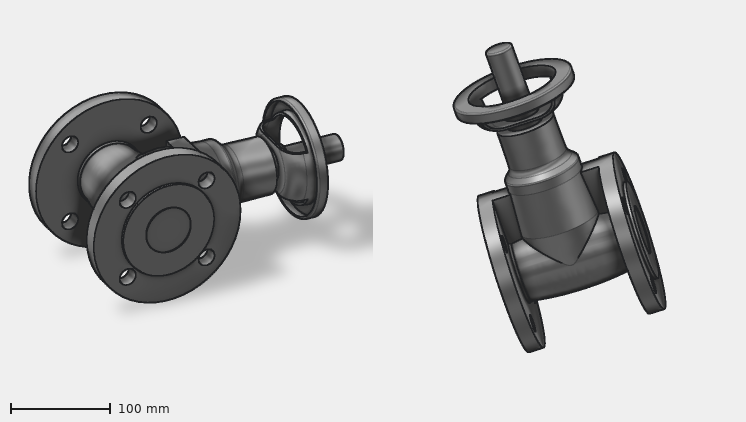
import cadquery as cq
import math


face_to_face = 150.0
flange_radius = 82.5
flange_thickness = 15.6
raised_face_radius = 51.0
raised_face_height = 3.4
port_radius = 25.0
port_depth = 1.0
bolt_circle_radius = 62.5
bolt_hole_radius = 9.0
bolt_count = 4

flange_outer_x = face_to_face / 2 - raised_face_height
flange_inner_x = flange_outer_x - flange_thickness

barrel_mid_radius = 38.5
barrel_end_radius = 34.5
neck_length = 3.0
neck_flare = 1.3
land_length = 1.0
barrel_end_x = flange_inner_x - neck_length - land_length

web_half_thickness = 12.6

chest_base_radius = barrel_mid_radius
chest_max_radius = 42.5
chest_max_y = 36.6
bonnet_collar_radius = 39.0
bonnet_collar_base_y = 83.4
bonnet_shoulder_y = 94.0
bonnet_shoulder_round = 2.4
bonnet_throat_round = 10.0
bonnet_neck_base_radius = 30.4
bonnet_neck_top_radius = 29.9
bonnet_top_y = 144.6

pad_length = 42.5
pad_width = 20.0
pad_center_y = 56.0
pad_top_z = 42.5

sleeve_radius = 17.8
sleeve_top_y = 167.0
sleeve_round = 2.0
spindle_radius = 13.9
spindle_top_y = 228.6
spindle_round = 2.0

wheel_radius = 62.5
wheel_base_y = 174.2
wheel_thickness = 12.0
wheel_top_y = wheel_base_y + wheel_thickness
wheel_edge_round = 1.8
rim_wall = 3.0
wheel_web_thickness = 4.0
bowl_radius = 47.2
bowl_root_radius = 48.7
bowl_wall = 2.5
bowl_base_y = 152.8
bowl_round = 16.3
spoke_half_width = 26.8

SPINDLE_AXIS = ((0, 0, 0), (0, 1, 0))


def make_flange():
    """Right-hand flange with raised face, shallow port recess and bolt holes."""
    flange = (
        cq.Workplane("YZ", origin=(flange_inner_x, 0, 0))
        .circle(flange_radius)
        .extrude(flange_thickness)
        .faces(">X")
        .workplane()
        .circle(raised_face_radius)
        .extrude(raised_face_height)
        .faces(">X")
        .workplane()
        .circle(port_radius)
        .cutBlind(-port_depth)
    )
    bolt_holes = (
        cq.Workplane("YZ", origin=(flange_inner_x, 0, 0))
        .polarArray(bolt_circle_radius, 180 / bolt_count, 360, bolt_count)
        .circle(bolt_hole_radius)
        .extrude(flange_thickness)
    )
    return flange.cut(bolt_holes)


def make_barrel():
    """Barrel bulging towards its middle, with a straight land and a slight flare at each flange."""
    flare_radius = barrel_end_radius + neck_flare
    return (
        cq.Workplane("XY")
        .moveTo(-flange_inner_x, 0)
        .lineTo(-flange_inner_x, flare_radius)
        .lineTo(-flange_inner_x + neck_length, barrel_end_radius)
        .lineTo(-barrel_end_x, barrel_end_radius)
        .threePointArc((0, barrel_mid_radius), (barrel_end_x, barrel_end_radius))
        .lineTo(flange_inner_x - neck_length, barrel_end_radius)
        .lineTo(flange_inner_x, flare_radius)
        .lineTo(flange_inner_x, 0)
        .close()
        .revolve(360, (0, 0, 0), (1, 0, 0))
    )


def make_web():
    """Slab joining both flanges to the bonnet, its top following the flange rim."""
    disc = cq.Workplane("YZ").circle(flange_radius).extrude(flange_inner_x, both=True)
    slab = cq.Workplane("XY").box(
        2 * flange_inner_x, flange_radius, 2 * web_half_thickness, centered=(True, False, True)
    )
    return disc.intersect(slab)


def make_bonnet():
    """Bonnet, packing sleeve and spindle turned about the Y axis."""
    turn = math.radians(45)
    round_start_y = bonnet_shoulder_y - bonnet_shoulder_round * math.tan(turn / 2)
    round_end_x = bonnet_collar_radius - bonnet_shoulder_round * (1 - math.cos(turn))
    round_end_y = round_start_y + bonnet_shoulder_round * math.sin(turn)
    throat_x = bonnet_neck_base_radius + bonnet_throat_round * (1 - math.cos(turn))
    throat_y = bonnet_shoulder_y + bonnet_collar_radius - throat_x
    throat_end_y = throat_y + bonnet_throat_round * math.sin(turn)
    return (
        cq.Workplane("XY")
        .lineTo(chest_base_radius, 0)
        .lineTo(chest_max_radius, chest_max_y)
        .lineTo(bonnet_collar_radius, bonnet_collar_base_y)
        .lineTo(bonnet_collar_radius, round_start_y)
        .radiusArc((round_end_x, round_end_y), -bonnet_shoulder_round)
        .lineTo(throat_x, throat_y)
        .radiusArc((bonnet_neck_base_radius, throat_end_y), bonnet_throat_round)
        .lineTo(bonnet_neck_top_radius, bonnet_top_y)
        .lineTo(sleeve_radius, bonnet_top_y)
        .lineTo(sleeve_radius, sleeve_top_y - sleeve_round)
        .radiusArc((sleeve_radius - sleeve_round, sleeve_top_y), -sleeve_round)
        .lineTo(spindle_radius, sleeve_top_y)
        .lineTo(spindle_radius, spindle_top_y - spindle_round)
        .radiusArc((spindle_radius - spindle_round, spindle_top_y), -spindle_round)
        .lineTo(0, spindle_top_y)
        .close()
        .revolve(360, *SPINDLE_AXIS)
    )


def make_name_plate_pad():
    """Flat pad standing out of the bonnet on its +Z side."""
    return cq.Workplane("XY", origin=(0, pad_center_y, 0)).rect(pad_length, pad_width).extrude(pad_top_z)


def make_valve_body():
    """Flanges, barrel, web and bonnet with the spindle, as one solid."""
    flange = make_flange()
    return (
        make_barrel()
        .union(flange)
        .union(flange.mirror("YZ"))
        .union(make_web())
        .union(make_bonnet())
        .union(make_name_plate_pad())
    )


def make_handwheel():
    """Rim and web on a hollow bowl that is cut back to two spokes and seated on the sleeve."""
    rim_inner = wheel_radius - rim_wall
    web_base_y = wheel_top_y - wheel_web_thickness
    bowl_inner = bowl_radius - bowl_wall
    inner_round = bowl_round - bowl_wall
    round_center_x = bowl_radius - bowl_round
    round_center_y = bowl_base_y + bowl_round
    wheel = (
        cq.Workplane("XY")
        .moveTo(sleeve_radius, bowl_base_y)
        .lineTo(round_center_x, bowl_base_y)
        .radiusArc((bowl_radius, round_center_y), -bowl_round)
        .lineTo(bowl_root_radius, web_base_y)
        .lineTo(rim_inner, web_base_y)
        .lineTo(rim_inner, wheel_base_y)
        .lineTo(wheel_radius - wheel_edge_round, wheel_base_y)
        .radiusArc((wheel_radius, wheel_base_y + wheel_edge_round), -wheel_edge_round)
        .lineTo(wheel_radius, wheel_top_y - wheel_edge_round)
        .radiusArc((wheel_radius - wheel_edge_round, wheel_top_y), -wheel_edge_round)
        .lineTo(bowl_root_radius - bowl_wall, wheel_top_y)
        .lineTo(bowl_inner, round_center_y)
        .radiusArc((round_center_x, bowl_base_y + bowl_wall), inner_round)
        .lineTo(sleeve_radius, bowl_base_y + bowl_wall)
        .close()
        .revolve(360, *SPINDLE_AXIS)
    )
    window = cq.Workplane("XY", origin=(0, bowl_base_y, spoke_half_width)).box(
        2 * bowl_root_radius, wheel_base_y - bowl_base_y, bowl_root_radius, centered=(True, False, False)
    )
    for opening in (window, window.mirror("XY")):
        wheel = wheel.cut(opening)
    return wheel


valve_body = make_valve_body()
handwheel = make_handwheel()

result = cq.Compound.makeCompound([valve_body.solids().val(), handwheel.solids().val()])